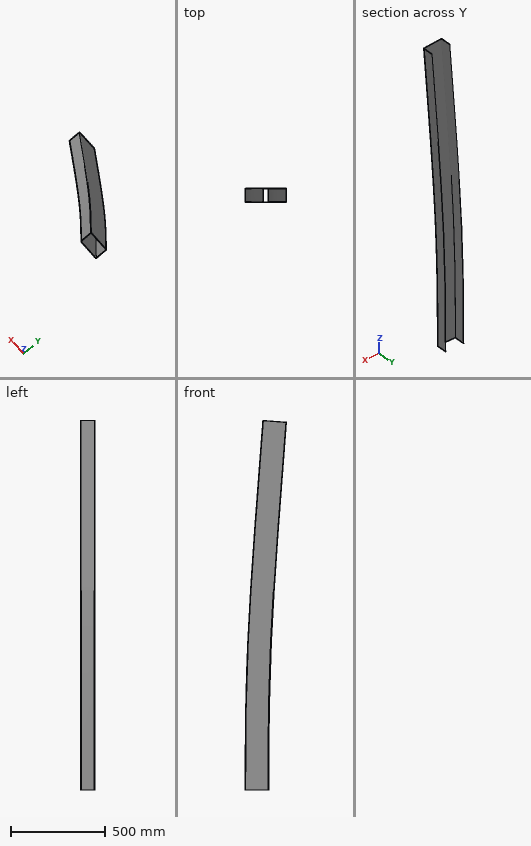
import cadquery as cq
import math

width = 126.0
depth = 75.61
wall = 3.0
outer_radius = 5.0
inner_radius = outer_radius - wall

overall_x = 220.11
overall_z = 1965.56
lower_third_lean = math.radians(0.78)
upper_third_lean = math.radians(4.29)
top_lean = math.radians(4.35)

half_width = width / 2
rise_x = overall_x - half_width - half_width * math.cos(top_lean)
rise_z = overall_z - half_width * math.sin(top_lean)


def centre_line():
    """Smooth curve through four points at equal height steps, vertical at the bottom."""
    third = rise_z / 3
    points = [
        cq.Vector(0, 0, 0),
        cq.Vector(third * math.tan(lower_third_lean), 0, third),
        cq.Vector(rise_x - third * math.tan(upper_third_lean), 0, rise_z - third),
        cq.Vector(rise_x, 0, rise_z),
    ]
    bottom_direction = cq.Vector(0, 0, 1)
    top_direction = cq.Vector(math.sin(top_lean), 0, math.cos(top_lean))
    curve = cq.Edge.makeSpline(points, tangents=[bottom_direction, top_direction])
    return cq.Workplane(curve).wire()


def bent_bar(size_x, size_y, corner_radius):
    """Solid bar with a rounded rectangular section that follows the centre line."""
    section = cq.Sketch().rect(size_x, size_y).vertices().fillet(corner_radius)
    return cq.Workplane("XY").placeSketch(section).sweep(centre_line())


outside = bent_bar(width, depth, outer_radius)
inside = bent_bar(width - 2 * wall, depth - 2 * wall, inner_radius)
result = outside.cut(inside)